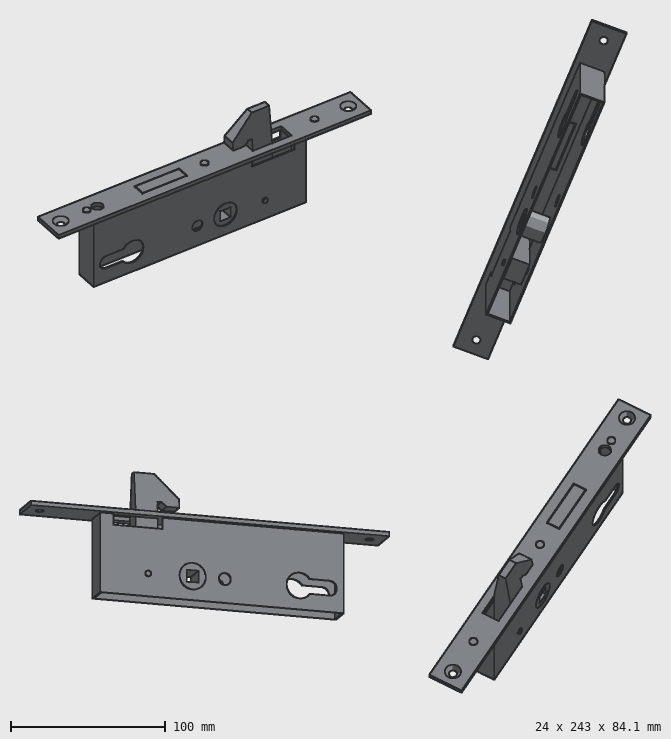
import cadquery as cq


plate_width = 24.0
plate_length = 243.0
plate_thickness = 3.0
screw_offset = 111.8
screw_hole_diameter = 5.0
countersink_diameter = 10.5
countersink_angle = 90
rivet_ys = (85.5, 0.0, -91.5)
rivet_diameter = 5.3
rivet_height = 0.7
adjuster_hole_y = -83.3
adjuster_hole_diameter = 8.0

case_width = 17.0
case_length = 165.2
case_center_y = -9.2
case_bottom_z = -56.1
case_height = -plate_thickness - case_bottom_z
wall = 1.0
window_back_y = 64.5
window_front_y = 31.0
window_bottom_z = -10.2

hook_back_y = 48.5
hook_front_y = 33.5
hook_top_z = 28.0
hook_tip_y = 18.7
bevel_start_y = 35.0
bevel_end_z = hook_top_z - (bevel_start_y - hook_tip_y)
beak_bottom_z = 5.8
beak_inner_y = 27.5
notch_top_z = 8.7
notch_corner_y = 30.9
hook_width = 12.2
hook_top_width = 5.0
taper_start_z = 0.7
slot_back_y = 63.7

pin_y = (hook_back_y + hook_front_y) / 2
pin_z = -41.0
pin_diameter = 4.0
pin_projection = 1.0
hook_bottom_z = pin_z - (hook_back_y - hook_front_y) / 2

spindle_z = -40.0
hub_y = 10.7
hub_diameter = 17.7
hub_recess = 0.2
hub_width = case_width - 2 * hub_recess
spindle_square = 8.0

fixing_hole_y = -11.2
fixing_hole_diameter = 8.0
cylinder_y = -61.7
cylinder_diameter = 17.3
cylinder_slot_width = 10.0
cylinder_slot_end_y = -87.0

bolt_width = 8.5
bolt_length = 33.8
bolt_center_y = -34.0
bolt_gap = 0.5


def box(width, y_min, y_max, z_min, z_max):
    """Block centred on X = 0 between the given Y and Z limits."""
    return cq.Workplane("XY").box(width, y_max - y_min, z_max - z_min).translate(
        (0, (y_min + y_max) / 2, (z_min + z_max) / 2)
    )


def cross_cylinder(diameter, length, y, z):
    """Cylinder along X, centred on X = 0."""
    return cq.Workplane("YZ").center(y, z).circle(diameter / 2).extrude(length / 2, both=True)


def make_faceplate():
    plate = box(plate_width, -plate_length / 2, plate_length / 2, -plate_thickness, 0)
    top = plate.faces(">Z").workplane(origin=(0, 0, 0))
    plate = top.pushPoints([(0, screw_offset), (0, -screw_offset)]).cskHole(
        screw_hole_diameter, countersink_diameter, countersink_angle
    )
    plate = (
        plate.faces(">Z").workplane(origin=(0, 0, 0))
        .center(0, adjuster_hole_y).hole(adjuster_hole_diameter)
    )

    hook_slot = box(hook_width, hook_front_y, slot_back_y, -plate_thickness, 0)
    bolt_slot_half = bolt_length / 2 + bolt_gap
    bolt_slot = box(
        bolt_width + 2 * bolt_gap,
        bolt_center_y - bolt_slot_half,
        bolt_center_y + bolt_slot_half,
        -plate_thickness,
        0,
    )
    rivets = (
        cq.Workplane("XY").pushPoints([(0, y) for y in rivet_ys])
        .circle(rivet_diameter / 2).extrude(rivet_height)
    )
    return plate.cut(hook_slot).cut(bolt_slot).union(rivets)


def make_keyhole():
    """Euro-cylinder cutout: a round hole with a round-ended slot towards -Y."""
    slot_end_center_y = cylinder_slot_end_y + cylinder_slot_width / 2
    barrel = cross_cylinder(cylinder_diameter, case_width, cylinder_y, spindle_z)
    slot_end = cross_cylinder(cylinder_slot_width, case_width, slot_end_center_y, spindle_z)
    slot = box(
        case_width,
        slot_end_center_y,
        cylinder_y,
        spindle_z - cylinder_slot_width / 2,
        spindle_z + cylinder_slot_width / 2,
    )
    return barrel.union(slot).union(slot_end)


def make_case():
    case = (
        cq.Workplane("XY").workplane(offset=case_bottom_z).center(0, case_center_y)
        .rect(case_width, case_length)
        .rect(case_width - 2 * wall, case_length - 2 * wall)
        .extrude(case_height)
    )
    case = case.cut(box(case_width, window_front_y, window_back_y, window_bottom_z, -plate_thickness))
    case = case.cut(cross_cylinder(pin_diameter, case_width, pin_y, pin_z))
    case = case.cut(cross_cylinder(hub_diameter, case_width, hub_y, spindle_z))
    case = case.cut(cross_cylinder(fixing_hole_diameter, case_width, fixing_hole_y, spindle_z))
    return case.cut(make_keyhole())


def make_hook():
    side_outline = [
        (hook_back_y, hook_bottom_z),
        (hook_back_y, hook_top_z),
        (bevel_start_y, hook_top_z),
        (hook_tip_y, bevel_end_z),
        (hook_tip_y, beak_bottom_z),
        (beak_inner_y, beak_bottom_z),
        (notch_corner_y, notch_top_z),
        (hook_front_y, notch_top_z),
        (hook_front_y, hook_bottom_z),
    ]
    profile = cq.Workplane("YZ").polyline(side_outline).close().extrude(hook_width / 2, both=True)

    end_outline = [
        (-hook_width / 2, hook_bottom_z),
        (hook_width / 2, hook_bottom_z),
        (hook_width / 2, taper_start_z),
        (hook_top_width / 2, hook_top_z),
        (-hook_top_width / 2, hook_top_z),
        (-hook_width / 2, taper_start_z),
    ]
    taper = (
        cq.Workplane("XZ", origin=(0, hook_back_y, 0))
        .polyline(end_outline).close().extrude(hook_back_y - hook_tip_y)
    )
    pin = cross_cylinder(pin_diameter, case_width + 2 * pin_projection, pin_y, pin_z)
    return profile.intersect(taper).union(pin)


def make_hub():
    half_square = spindle_square / 2
    square = box(
        hub_width, hub_y - half_square, hub_y + half_square,
        spindle_z - half_square, spindle_z + half_square,
    )
    return cross_cylinder(hub_diameter, hub_width, hub_y, spindle_z).cut(square)


def make_bolt():
    half_length = bolt_length / 2
    return box(bolt_width, bolt_center_y - half_length, bolt_center_y + half_length, -plate_thickness, 0)


faceplate = make_faceplate()
case = make_case()
hook = make_hook()
hub = make_hub()
bolt = make_bolt()

result = cq.Compound.makeCompound([
    faceplate.val(),
    case.val(),
    hook.val(),
    hub.val(),
    bolt.val(),
])